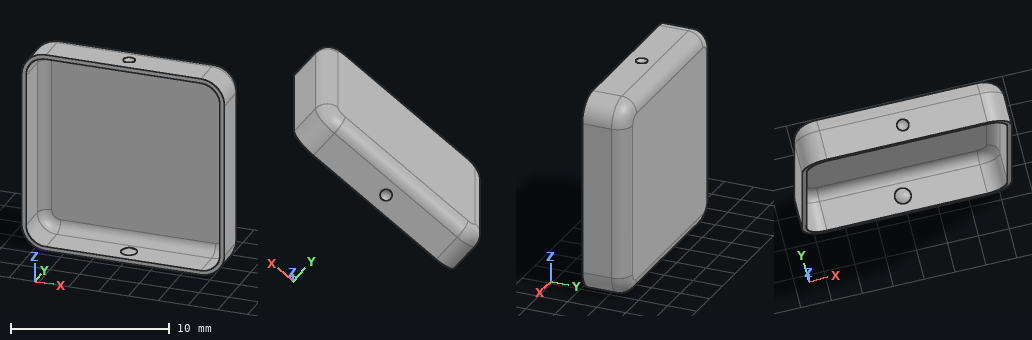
import cadquery as cq

side = 13.6
depth = 3.0
wall = 0.3
corner_radius = 1.6
back_edge_radius = 1.0

detent_from_rim = 1.1
dimple_radius = 0.38
dimple_depth = 0.22

rim_y = -depth / 2


def rounded_block(width, length, upright_radius, edge_radius):
    """Square block from the rim towards +Y, with rounded corners and a rounded back edge."""
    block = cq.Workplane("XZ", origin=(0, rim_y, 0)).rect(width, width).extrude(-length)
    return block.edges("|Y").fillet(upright_radius).faces(">Y").edges().fillet(edge_radius)


def make_tray():
    """Shell of constant wall thickness."""
    outside = rounded_block(side, depth, corner_radius, back_edge_radius)
    cavity = rounded_block(side - 2 * wall, depth - wall, corner_radius - wall, back_edge_radius - wall)
    return outside.cut(cavity)


def add_detent(tray, direction):
    """Press a spherical dimple into one wall, leaving a concentric bump inside it."""
    inner_sphere_radius = (dimple_radius**2 + dimple_depth**2) / (2 * dimple_depth)
    outer_sphere_radius = inner_sphere_radius + wall
    centre_height = side / 2 + inner_sphere_radius - dimple_depth
    centre = (0, rim_y + detent_from_rim, direction * centre_height)

    bump_limit = cq.Workplane("XY").box(side, depth, side - wall)
    bump = cq.Workplane("XY").sphere(outer_sphere_radius).translate(centre).intersect(bump_limit)
    dimple = cq.Workplane("XY").sphere(inner_sphere_radius).translate(centre)
    return tray.union(bump).cut(dimple)


result = make_tray()
for direction in (1, -1):
    result = add_detent(result, direction)